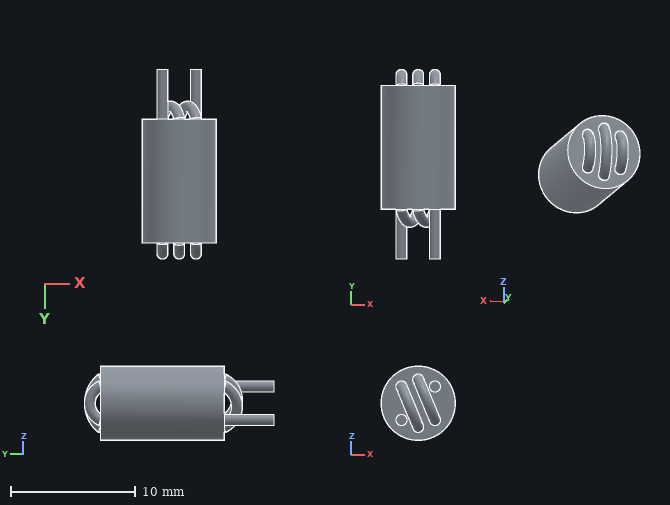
import cadquery as cq
import math


core_diameter = 6.0
core_length = 10.0
wire_diameter = 0.89
lead_length = 4.0
row_spacing = 1.35
back_loop_reach = 1.29
front_loop_reach = 1.45
root_depth = 1.0

front_y = -core_length / 2
back_y = core_length / 2
lead_end_y = front_y - lead_length
back_apex_y = back_y + back_loop_reach - wire_diameter / 2
front_apex_y = front_y - front_loop_reach + wire_diameter / 2

outer_height = row_spacing
middle_height = row_spacing * math.sqrt(2)

passes = [
    (-row_spacing, -outer_height),
    (-row_spacing, outer_height),
    (0, -middle_height),
    (0, middle_height),
    (row_spacing, -outer_height),
    (row_spacing, outer_height),
]


def wire_section(spot, y):
    """Round wire section on a pass axis at depth y, facing -Y."""
    x, z = spot
    return cq.Workplane("XZ", origin=(x, y, z)).circle(wire_diameter / 2)


def make_core():
    """Solid core; the wire passes fill their bores, so none are cut."""
    return cq.Workplane("XZ", origin=(0, front_y, 0)).circle(core_diameter / 2).extrude(-core_length)


def make_lead(spot):
    """Straight wire end standing out of the front face."""
    return wire_section(spot, lead_end_y).extrude(-lead_length - root_depth)


def make_loop(start, end, face_y, apex_y):
    """Arc of wire joining two passes outside an end face, mitred where it meets them.

    The arc is part of a ring whose centreline crosses the pass axes at the face.
    """
    outward = math.copysign(1, face_y)
    run_x = end[0] - start[0]
    run_z = end[1] - start[1]
    half_chord = math.hypot(run_x, run_z) / 2
    rise = abs(apex_y - face_y)
    ring_radius = (half_chord**2 + rise**2) / (2 * rise)
    bend_angle = math.pi / 2 - math.asin(half_chord / ring_radius)
    middle = cq.Vector((start[0] + end[0]) / 2, face_y, (start[1] + end[1]) / 2)

    chord = cq.Vector(run_x, 0, run_z)
    normal = chord.cross(cq.Vector(0, outward, 0))
    loop_plane = cq.Plane(origin=middle, xDir=chord, normal=normal)

    ring_centre = loop_plane.toWorldCoords((0, rise - ring_radius))
    ring = cq.Workplane(cq.Solid.makeTorus(ring_radius, wire_diameter / 2, ring_centre, normal))

    mitre_slope = math.tan(bend_angle / 2)
    reach = half_chord + wire_diameter
    apex_depth = -half_chord * mitre_slope
    shoulder = wire_diameter * mitre_slope
    top = rise + wire_diameter
    wedge = (
        cq.Workplane(loop_plane)
        .polyline([(0, apex_depth), (reach, shoulder), (reach, top), (-reach, top), (-reach, shoulder)])
        .close()
        .extrude(wire_diameter, both=True)
    )

    arc = ring.intersect(wedge)
    for spot in (start, end):
        stub_start = face_y - outward * root_depth
        stub = wire_section(spot, stub_start).extrude(-outward * (root_depth + wire_diameter))
        arc = arc.union(stub.cut(wedge))
    return arc


result = make_core()
for lead_spot in (passes[0], passes[-1]):
    result = result.union(make_lead(lead_spot))
for index in range(len(passes) - 1):
    at_back = index % 2 == 0
    face_y = back_y if at_back else front_y
    apex_y = back_apex_y if at_back else front_apex_y
    result = result.union(make_loop(passes[index], passes[index + 1], face_y, apex_y))